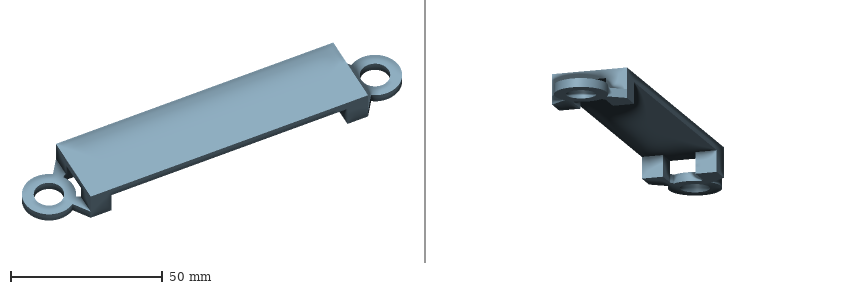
import cadquery as cq

total_length = 137.9
width = 26.0
height = 10.5
thickness = 3.0
foot_length = 7.6
foot_slot_width = 11.3
ring_diameter = 17.9
hole_diameter = 10.0

bridge_length = total_length - 2 * ring_diameter
bridge_end = bridge_length / 2
ring_center = bridge_end + ring_diameter / 2


def make_bridge():
    """Flat plate on a foot at each end, with a lengthwise slot splitting each foot in two."""
    under_plate = height - thickness
    block = cq.Workplane("XY").box(width, bridge_length, height, centered=(True, True, False))
    span = cq.Workplane("XY").box(
        width, bridge_length - 2 * foot_length, under_plate, centered=(True, True, False)
    )
    slot = cq.Workplane("XY").box(
        foot_slot_width, bridge_length, under_plate, centered=(True, True, False)
    )
    return block.cut(span).cut(slot)


def make_ear(end):
    """Ring with two arms that taper from the foot halves to the ring center; end is +1 or -1 along Y."""
    ear = cq.Workplane("XY").center(0, end * ring_center).circle(ring_diameter / 2).extrude(thickness)
    for side in (-1, 1):
        arm = (
            cq.Workplane("XY")
            .moveTo(side * width / 2, end * bridge_end)
            .lineTo(0, end * ring_center)
            .lineTo(side * foot_slot_width / 2, end * bridge_end)
            .close()
            .extrude(thickness)
        )
        ear = ear.union(arm)
    hole = cq.Workplane("XY").center(0, end * ring_center).circle(hole_diameter / 2).extrude(thickness)
    return ear.cut(hole)


result = make_bridge().union(make_ear(1)).union(make_ear(-1))